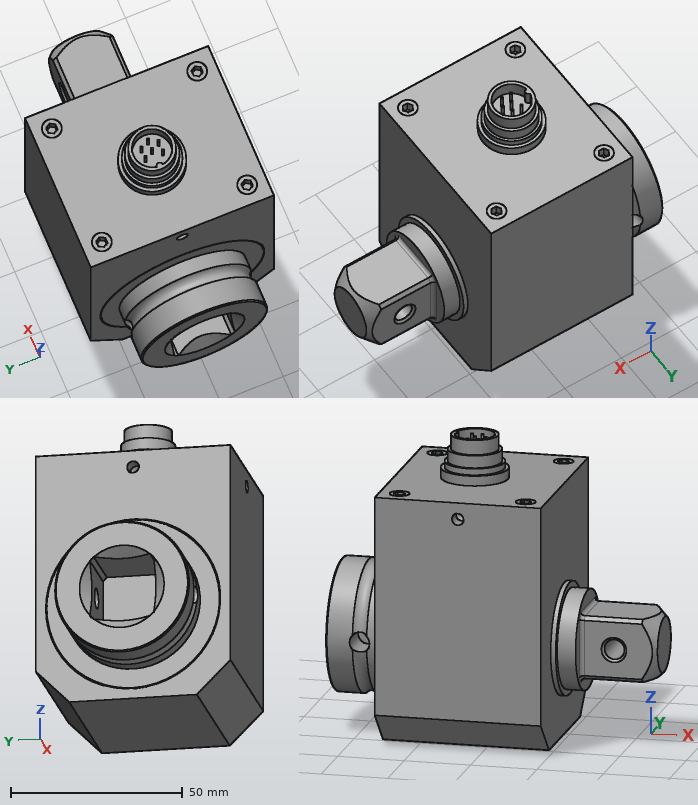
import cadquery as cq
import math


EPS = 0.01

HOUSING_LENGTH = 50.0
HOUSING_WIDTH = 58.0
HOUSING_HEIGHT = 76.0
HOUSING_BOTTOM = -HOUSING_WIDTH / 2
HOUSING_TOP = HOUSING_BOTTOM + HOUSING_HEIGHT
BOTTOM_CHAMFER = 10.0

FACE_GAP_OUTER_DIA = 52.0
FACE_GAP_INNER_DIA = 51.5
FACE_GAP_DEPTH = 1.0

MARK_DIA = 3.5
MARK_DEPTH = 5.0
MARK_BELOW_TOP = 5.0
DRILL_POINT_ANGLE = 118.0

SQUARE_SIZE = 19.05
SQUARE_CORNER_CHAMFER = 1.15
CROSS_HOLE_DIA = 6.0

SOCKET_DIA = 40.0
SOCKET_LENGTH = 17.0
SOCKET_RIM_CHAMFER = 0.4
SOCKET_MOUTH_DIA = 25.2
SOCKET_SQUARE_DEPTH = 20.0
GROOVE_X = -6.8
GROOVE_WIDTH = 4.3
GROOVE_DEPTH = 1.0

COLLAR_DIA = 33.8
COLLAR_LENGTH = 1.5
SHOULDER_DIA = 30.0
SHOULDER_END_X = HOUSING_LENGTH + 7.0
TANG_LENGTH = 23.0
TANG_END_X = SHOULDER_END_X + TANG_LENGTH
TANG_ROOT_FILLET = 1.2
TANG_TIP_DIA = 16.6
TANG_HOLE_X = HOUSING_LENGTH + 17.2
TANG_HOLE_CHAMFER = 0.75

SCREW_INSET = 6.0
SCREW_BORE_DIA = 5.84
SCREW_HEAD_DIA = 5.74
SCREW_HEAD_HEIGHT = 4.0
HEX_FLATS = 2.9
HEX_DEPTH = 3.0

CONNECTOR_X = 23.0
CONNECTOR_STEPS = [(20.0, 3.0), (17.75, 4.9), (16.0, 8.6), (14.0, 13.0)]
CONNECTOR_TOP = HOUSING_TOP + CONNECTOR_STEPS[-1][1]
CONNECTOR_BORE_DIA = 11.8
CONNECTOR_BORE_DEPTH = 4.4
KEY_DIA = 2.0
PIN_DIA = 0.76
PIN_HEIGHT = 3.7
PIN_CIRCLE_RADIUS = 3.15
PIN_ANGLES = [-120, -60, 0, 60, 120]


def x_cylinder(diameter, x_start, x_end):
    """Cylinder on the drive axis between two X positions."""
    return cq.Workplane("YZ", origin=(x_start, 0, 0)).circle(diameter / 2).extrude(x_end - x_start)


def z_cylinder(diameter, x, y, z_start, z_end):
    """Upright cylinder between two heights."""
    return cq.Workplane("XY", origin=(x, y, z_start)).circle(diameter / 2).extrude(z_end - z_start)


def square_bar(x_start, x_end):
    """Drive square with chamfered corners along the drive axis."""
    return (
        cq.Workplane("YZ", origin=(x_start, 0, 0))
        .rect(SQUARE_SIZE, SQUARE_SIZE)
        .extrude(x_end - x_start)
        .edges("|X")
        .chamfer(SQUARE_CORNER_CHAMFER)
    )


def revolve_about_x(profile):
    """Revolve an XY profile once around the drive axis."""
    return profile.close().revolve(360, (0, 0, 0), (1, 0, 0))


def y_hole(diameter, x, length):
    """Through-hole cutter along Y that crosses the drive axis."""
    return cq.Workplane("XZ", origin=(x, length / 2, 0)).circle(diameter / 2).extrude(length)


def make_housing():
    housing = (
        cq.Workplane("XY")
        .box(HOUSING_LENGTH, HOUSING_WIDTH, HOUSING_HEIGHT, centered=(False, True, False))
        .translate((0, 0, HOUSING_BOTTOM))
        .edges("|X and <Z")
        .chamfer(BOTTOM_CHAMFER)
    )
    face_gap = x_cylinder(FACE_GAP_OUTER_DIA, 0, FACE_GAP_DEPTH).cut(
        x_cylinder(FACE_GAP_INNER_DIA, 0, FACE_GAP_DEPTH)
    )
    return housing.cut(face_gap)


def drilled_mark(face_point, inward):
    """Blind drilled hole with a conical bottom, starting at a face."""
    radius = MARK_DIA / 2
    point_height = radius / math.tan(math.radians(DRILL_POINT_ANGLE / 2))
    start = cq.Vector(*face_point)
    direction = cq.Vector(*inward)
    bore = cq.Solid.makeCylinder(radius, MARK_DEPTH, start, direction)
    point = cq.Solid.makeCone(radius, 0, point_height, start + direction * MARK_DEPTH, direction)
    return bore.fuse(point)


def cut_marks(housing):
    mark_z = HOUSING_TOP - MARK_BELOW_TOP
    front_mark = drilled_mark((HOUSING_LENGTH / 2, -HOUSING_WIDTH / 2, mark_z), (0, 1, 0))
    socket_side_mark = drilled_mark((0, 0, mark_z), (1, 0, 0))
    return housing.cut(cq.Workplane(front_mark)).cut(cq.Workplane(socket_side_mark))


def cut_screws(housing):
    """Clearance ring and hexagon recess of each lid screw."""
    hex_across_corners = HEX_FLATS / math.cos(math.pi / 6)
    for x in (SCREW_INSET, HOUSING_LENGTH - SCREW_INSET):
        for side in (-1, 1):
            y = side * (HOUSING_WIDTH / 2 - SCREW_INSET)
            seat_z = HOUSING_TOP - SCREW_HEAD_HEIGHT
            bore = z_cylinder(SCREW_BORE_DIA, x, y, seat_z, HOUSING_TOP)
            head = z_cylinder(SCREW_HEAD_DIA, x, y, seat_z, HOUSING_TOP)
            hexagon = (
                cq.Workplane("XY", origin=(x, y, HOUSING_TOP - HEX_DEPTH))
                .polygon(6, hex_across_corners)
                .extrude(HEX_DEPTH)
            )
            housing = housing.cut(bore.cut(head)).cut(hexagon)
    return housing


def make_socket():
    """Socket body with its rounded retaining groove."""
    radius = SOCKET_DIA / 2
    half_groove = GROOVE_WIDTH / 2
    profile = (
        cq.Workplane("XY")
        .moveTo(-SOCKET_LENGTH, 0)
        .lineTo(-SOCKET_LENGTH, radius - SOCKET_RIM_CHAMFER)
        .lineTo(-SOCKET_LENGTH + SOCKET_RIM_CHAMFER, radius)
        .lineTo(GROOVE_X - half_groove, radius)
        .threePointArc((GROOVE_X, radius - GROOVE_DEPTH), (GROOVE_X + half_groove, radius))
        .lineTo(EPS, radius)
        .lineTo(EPS, 0)
    )
    return revolve_about_x(profile)


def cut_socket_drive(body):
    """Square recess with a 45 degree conical mouth, and the cross hole."""
    mouth_radius = SOCKET_MOUTH_DIA / 2
    mouth = revolve_about_x(
        cq.Workplane("XY")
        .moveTo(-SOCKET_LENGTH, 0)
        .lineTo(-SOCKET_LENGTH, mouth_radius)
        .lineTo(-SOCKET_LENGTH + mouth_radius - SQUARE_SIZE / 2, SQUARE_SIZE / 2)
        .lineTo(-SOCKET_LENGTH + mouth_radius - SQUARE_SIZE / 2, 0)
    )
    square = square_bar(-SOCKET_LENGTH, -SOCKET_LENGTH + SOCKET_SQUARE_DEPTH)
    cross_hole = y_hole(CROSS_HOLE_DIA, GROOVE_X, SOCKET_DIA)
    return body.cut(mouth).cut(square).cut(cross_hole)


def make_tang():
    """Collar, shoulder and square tang with a 45 degree conical tip."""
    tip_radius = TANG_TIP_DIA / 2
    tip_envelope = revolve_about_x(
        cq.Workplane("XY")
        .moveTo(SHOULDER_END_X - EPS, 0)
        .lineTo(SHOULDER_END_X - EPS, tip_radius + TANG_LENGTH)
        .lineTo(TANG_END_X, tip_radius)
        .lineTo(TANG_END_X, 0)
    )
    shoulder = x_cylinder(SHOULDER_DIA, HOUSING_LENGTH - EPS, SHOULDER_END_X)
    root_half = SQUARE_SIZE / 2 + EPS
    tang = shoulder.union(square_bar(SHOULDER_END_X - EPS, TANG_END_X).intersect(tip_envelope))
    root_edges = cq.selectors.BoxSelector(
        (SHOULDER_END_X - EPS, -root_half, -root_half),
        (SHOULDER_END_X + EPS, root_half, root_half),
        boundingbox=True,
    )
    tang = tang.edges(root_edges).fillet(TANG_ROOT_FILLET)
    return tang.union(x_cylinder(COLLAR_DIA, HOUSING_LENGTH - EPS, HOUSING_LENGTH + COLLAR_LENGTH))


def cut_tang_hole(tang):
    """Cross hole with chamfered mouths on both flats."""
    tang = tang.cut(y_hole(CROSS_HOLE_DIA, TANG_HOLE_X, SQUARE_SIZE))
    mouth_radius = CROSS_HOLE_DIA / 2 + TANG_HOLE_CHAMFER
    for side in (-1, 1):
        mouth = cq.Solid.makeCone(
            mouth_radius,
            CROSS_HOLE_DIA / 2,
            TANG_HOLE_CHAMFER,
            cq.Vector(TANG_HOLE_X, side * SQUARE_SIZE / 2, 0),
            cq.Vector(0, -side, 0),
        )
        tang = tang.cut(cq.Workplane(mouth))
    return tang


def make_connector():
    """Stepped round connector with a keyed bore and contact pins."""
    connector = cq.Workplane("XY")
    for diameter, height in CONNECTOR_STEPS:
        connector = connector.union(
            z_cylinder(diameter, CONNECTOR_X, 0, HOUSING_TOP - EPS, HOUSING_TOP + height)
        )
    floor_z = CONNECTOR_TOP - CONNECTOR_BORE_DEPTH
    bore = z_cylinder(CONNECTOR_BORE_DIA, CONNECTOR_X, 0, floor_z, CONNECTOR_TOP)
    key = z_cylinder(KEY_DIA, CONNECTOR_X - CONNECTOR_BORE_DIA / 2, 0, floor_z, CONNECTOR_TOP)
    connector = connector.cut(bore.cut(key))

    pin_points = [(0, 0)]
    for angle in PIN_ANGLES:
        radians = math.radians(angle)
        pin_points.append((PIN_CIRCLE_RADIUS * math.cos(radians), PIN_CIRCLE_RADIUS * math.sin(radians)))
    for x, y in pin_points:
        pin = z_cylinder(PIN_DIA, CONNECTOR_X + x, y, floor_z - EPS, floor_z + PIN_HEIGHT)
        connector = connector.union(pin)
    return connector


housing = cut_screws(cut_marks(make_housing()))
tang = cut_tang_hole(make_tang())
result = cut_socket_drive(housing.union(make_socket())).union(tang).union(make_connector())